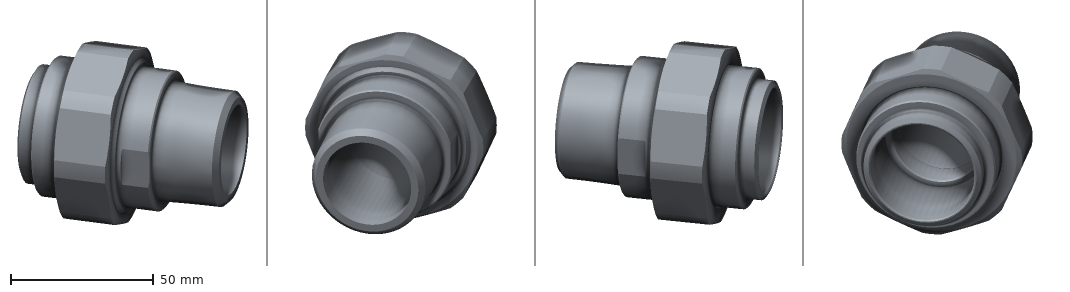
import cadquery as cq
import math


overall_length = 73.5

nut_start = 16.5
nut_length = 20.0
nut_end = nut_start + nut_length
nut_wall = 5.5
collar_start = nut_start + nut_wall
seal_face = 27.0
edge_chamfer = 0.5

weld_end_radius = 42.4 / 2
weld_bore_radius = 37.2 / 2
weld_bevel_height = 1.7
weld_bevel_length = 1.0
tail_shoulder = 6.5
tail_fillet = 1.0
sleeve_radius = 50.0 / 2
collar_radius = 54.0 / 2

nut_bore_radius = 50.5 / 2
nut_thread_radius = 55.85 / 2
nut_corner_radius = 64.7 / 2
nut_across_flats = 62.0
nut_sides = 8
nut_face_radius = 61.0 / 2
nut_bevel_angle = 20.0

male_thread_end = 37.7
male_thread_chamfer = 1.35
hub_radius = 50.0 / 2
hub_end = 49.6
hub_fillet = 0.6
body_bore_radius = 32.0 / 2
entry_bore_radius = 32.2 / 2
entry_length = nut_end - seal_face
pipe_fillet = 0.7
pipe_chamfer = 2.0
pipe_taper = 1 / 32
gauge_radius = 41.91 / 2
gauge_length = 12.7

wrench_across_flats = 48.0
wrench_start = 39.35
wrench_wall_angle = 15.0


def revolve_about_x(profile):
    """Turn a closed (x, radius) profile drawn on the XY plane about the X axis."""
    return profile.close().revolve(360, (0, 0, 0), (1, 0, 0))


def corner_fillet(profile, shoulder, radius_inner, fillet, direction):
    """Concave quarter arc between a cylinder and a shoulder face.

    direction = +1 climbs from the cylinder up to the shoulder on its right,
    direction = -1 descends from the shoulder on the left to the cylinder.
    """
    short_leg = fillet * (1 - math.sqrt(0.5))
    middle = (shoulder - direction * short_leg, radius_inner + short_leg)
    on_cylinder = (shoulder - direction * fillet, radius_inner)
    on_shoulder = (shoulder, radius_inner + fillet)
    if direction > 0:
        return profile.lineTo(*on_cylinder).threePointArc(middle, on_shoulder)
    return profile.lineTo(*on_shoulder).threePointArc(middle, on_cylinder)


def make_tailpiece():
    profile = (
        cq.Workplane("XY")
        .moveTo(edge_chamfer, weld_bore_radius)
        .lineTo(0, weld_bore_radius + edge_chamfer)
        .lineTo(0, weld_end_radius - weld_bevel_height)
        .lineTo(weld_bevel_length, weld_end_radius)
    )
    profile = corner_fillet(profile, tail_shoulder, weld_end_radius, tail_fillet, 1)
    profile = (
        profile
        .lineTo(tail_shoulder, sleeve_radius - edge_chamfer)
        .lineTo(tail_shoulder + edge_chamfer, sleeve_radius)
        .lineTo(collar_start, sleeve_radius)
        .lineTo(collar_start, collar_radius)
        .lineTo(seal_face, collar_radius)
        .lineTo(seal_face, weld_bore_radius)
    )
    return revolve_about_x(profile)


def make_union_nut():
    bevel_length = (nut_corner_radius - nut_face_radius) * math.tan(math.radians(nut_bevel_angle))
    turned = revolve_about_x(
        cq.Workplane("XY")
        .moveTo(nut_start, nut_bore_radius + edge_chamfer)
        .lineTo(nut_start, nut_face_radius)
        .lineTo(nut_start + bevel_length, nut_corner_radius)
        .lineTo(nut_end - bevel_length, nut_corner_radius)
        .lineTo(nut_end, nut_face_radius)
        .lineTo(nut_end, nut_thread_radius)
        .lineTo(collar_start, nut_thread_radius)
        .lineTo(collar_start, nut_bore_radius)
        .lineTo(nut_start + edge_chamfer, nut_bore_radius)
    )
    octagon = (
        cq.Workplane("YZ")
        .workplane(offset=nut_start)
        .polygon(nut_sides, nut_across_flats / math.cos(math.pi / nut_sides))
        .extrude(nut_length)
    )
    return turned.intersect(octagon)


def pipe_radius(station):
    """Radius of the tapered pipe thread at an X station."""
    return gauge_radius + (overall_length - gauge_length - station) * pipe_taper


def make_wrench_cut(side):
    """Block that mills one wrench flat; side is +1 or -1 along Y."""
    flat = wrench_across_flats / 2
    depth = hub_radius - flat
    wall_lean = depth * math.tan(math.radians(wrench_wall_angle))
    return (
        cq.Workplane("XY")
        .moveTo(wrench_start, side * hub_radius)
        .lineTo(wrench_start + wall_lean, side * flat)
        .lineTo(hub_end, side * flat)
        .lineTo(hub_end, side * hub_radius)
        .close()
        .extrude(hub_radius, both=True)
    )


def make_body():
    pipe_bevel_start = overall_length - pipe_chamfer
    pipe_bevel_radius = pipe_radius(pipe_bevel_start)
    pipe_root_radius = pipe_radius(hub_end + pipe_fillet)
    profile = (
        cq.Workplane("XY")
        .moveTo(seal_face + edge_chamfer, entry_bore_radius)
        .lineTo(seal_face, entry_bore_radius + edge_chamfer)
        .lineTo(seal_face, nut_thread_radius)
        .lineTo(male_thread_end - male_thread_chamfer, nut_thread_radius)
        .lineTo(male_thread_end, nut_thread_radius - male_thread_chamfer)
    )
    profile = corner_fillet(profile, male_thread_end, hub_radius, hub_fillet, -1)
    profile = (
        profile
        .lineTo(hub_end - edge_chamfer, hub_radius)
        .lineTo(hub_end, hub_radius - edge_chamfer)
    )
    profile = corner_fillet(profile, hub_end, pipe_root_radius, pipe_fillet, -1)
    profile = (
        profile
        .lineTo(pipe_bevel_start, pipe_bevel_radius)
        .lineTo(overall_length, pipe_bevel_radius - pipe_chamfer)
        .lineTo(overall_length, body_bore_radius)
        .lineTo(seal_face + entry_length, body_bore_radius)
        .lineTo(seal_face + entry_length, entry_bore_radius)
    )
    body = revolve_about_x(profile)
    for side in (1, -1):
        body = body.cut(make_wrench_cut(side))
    return body


tailpiece = make_tailpiece()
union_nut = make_union_nut()
body = make_body()

result = cq.Compound.makeCompound([tailpiece.val(), union_nut.val(), body.val()])